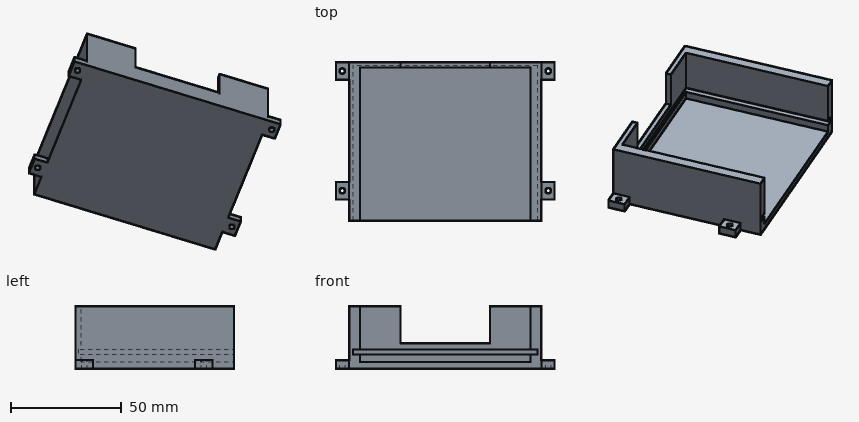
import cadquery as cq

overall_width = 98.8
depth = 71.7
height = 28.4

tab_reach = 6.0
tab_length = 8.0
tab_height = 4.0
tab_pitch = 54.0
tab_hole_diameter = 2.4
tab_hole_inset = 2.9

side_wall = 4.9
back_wall = 2.5
floor_thickness = 3.1

groove_bottom = 6.6
groove_height = 2.2
groove_side_depth = 3.2
groove_back_depth = 1.0

notch_width = 40.3
notch_bottom = 11.7

body_width = overall_width - 2 * tab_reach
inner_width = body_width - 2 * side_wall
back_y = depth / 2
front_y = -depth / 2


def centered_block(width, y_start, y_end, z_start, z_end):
    """Box centred on X that spans the given Y and Z ranges."""
    return (
        cq.Workplane("XY")
        .box(width, y_end - y_start, z_end - z_start, centered=(True, False, False))
        .translate((0, y_start, z_start))
    )


def mounting_tab(side, center_y):
    """Drilled tab on the left (side = -1) or right (side = 1) wall."""
    center_x = side * (overall_width - tab_reach) / 2
    hole_x = side * (overall_width / 2 - tab_hole_inset)
    tab = (
        cq.Workplane("XY")
        .box(tab_reach, tab_length, tab_height, centered=(True, True, False))
        .translate((center_x, center_y, 0))
    )
    hole = (
        cq.Workplane("XY")
        .center(hole_x, center_y)
        .circle(tab_hole_diameter / 2)
        .extrude(tab_height)
    )
    return tab.cut(hole)


tray = centered_block(body_width, front_y, back_y, 0, height)
cavity = centered_block(inner_width, front_y, back_y - back_wall, floor_thickness, height)
groove = centered_block(
    inner_width + 2 * groove_side_depth,
    front_y,
    back_y - back_wall + groove_back_depth,
    groove_bottom,
    groove_bottom + groove_height,
)
notch = centered_block(notch_width, back_y - back_wall, back_y, notch_bottom, height)
result = tray.cut(cavity).cut(groove).cut(notch)

rear_tab_y = back_y - tab_length / 2
for side in (-1, 1):
    for tab_y in (rear_tab_y, rear_tab_y - tab_pitch):
        result = result.union(mounting_tab(side, tab_y))